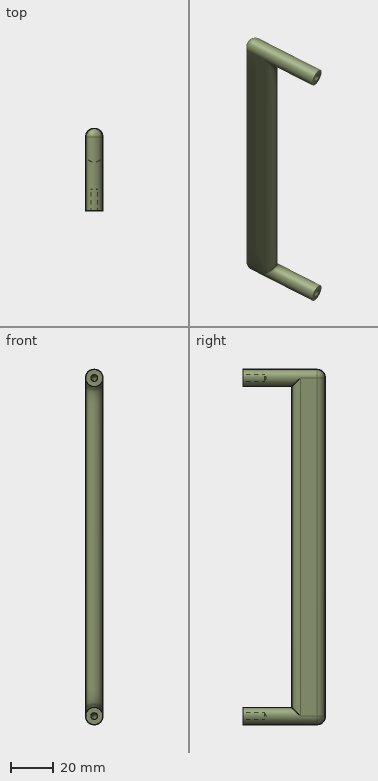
import cadquery as cq
import math

height = 168.2
depth = 39.0
thickness = 8.2
grip_depth = 16.0
hole_diameter = 3.2
hole_depth = 10.1
drill_point_angle = 118.0

radius = thickness / 2
leg_z = height / 2 - radius
back_axis_y = depth - radius
front_axis_y = depth - grip_depth + radius
axis_spacing = back_axis_y - front_axis_y


def grip():
    """Bar with two rounded edges, running between the two leg axes."""
    middle_y = (front_axis_y + back_axis_y) / 2
    return (
        cq.Workplane("XY", origin=(0, middle_y, -leg_z))
        .slot2D(axis_spacing + thickness, thickness, 90)
        .extrude(2 * leg_z)
    )


def rounded_leg(z):
    """Leg with a ball end that rounds off the back corner of the handle."""
    ball = cq.Workplane("XY", origin=(0, back_axis_y, z)).sphere(radius)
    rod = cq.Workplane("XZ", origin=(0, 0, z)).circle(radius).extrude(-back_axis_y)
    return rod.union(ball)


def mounting_hole(z):
    """Blind drilled hole in a leg face, ending in a conical point."""
    hole_radius = hole_diameter / 2
    tip_y = hole_depth + hole_radius / math.tan(math.radians(drill_point_angle / 2))
    return (
        cq.Workplane("XY", origin=(0, 0, z))
        .polyline([(0, 0), (hole_radius, 0), (hole_radius, hole_depth), (0, tip_y)])
        .close()
        .revolve(360, (0, 0), (0, 1))
    )


result = grip()
for z in (-leg_z, leg_z):
    result = result.union(rounded_leg(z))
for z in (-leg_z, leg_z):
    result = result.cut(mounting_hole(z))